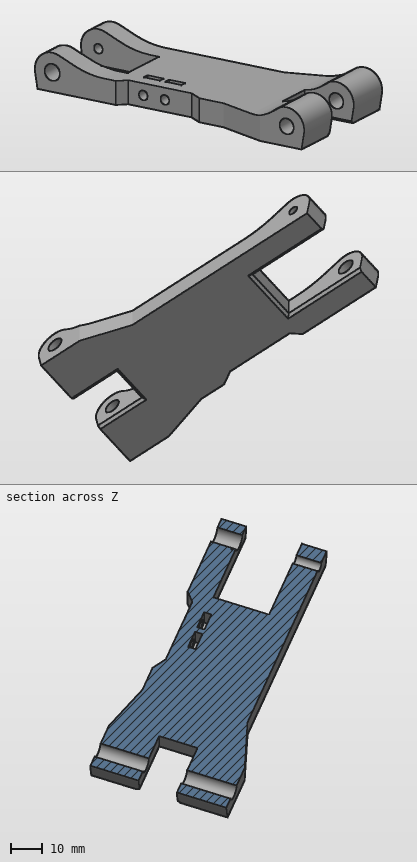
import cadquery as cq
import math


length = 103.0
wide_width = 45.6
wide_rear_y = 23.0
narrow_width = 35.3
plate_height = 8.0
knuckle_height = 13.0

knuckle_radius = knuckle_height / 2
base_inset = 1.0
narrow_slope_angle = 22.0
narrow_blend_radius = 29.0
wide_blend_radius = 15.0

taper_start_x = 70.0
taper_end_x = 86.7
relief_depth = 2.7
relief_start_x = 30.0
relief_floor_start_x = 33.0
relief_floor_end_x = 56.5
relief_end_x = 61.0

narrow_slot_length = 29.0
narrow_slot_width = 18.5
wide_slot_length = 18.2
wide_slot_width = 12.7
slot_chamfer = 1.0

narrow_pin_diameter = 3.2
narrow_pin_head_diameter = 5.6
wide_pin_diameter = 5.2
wide_pin_z = 6.7

screw_diameter = 3.2
screw_positions_x = (38.5, 46.5)
nut_slot_length = 6.0
nut_slot_width = 2.3
nut_slot_center_y = -8.8

narrow_knuckle_x = knuckle_radius
wide_knuckle_x = length - knuckle_radius
front_y = -narrow_width / 2
wide_front_y = wide_rear_y - wide_width
relief_y = front_y + relief_depth
screw_z = plate_height / 2


def point_on_circle(center_x, center_z, radius, angle):
    """Point at an angle (radians) measured from +X towards +Z."""
    return (center_x + radius * math.cos(angle), center_z + radius * math.sin(angle))


def side_body():
    """Side profile with a round knuckle at each end, extruded across the full width."""
    lean = 2 * math.atan2(knuckle_radius, knuckle_radius - base_inset)
    end_tangent = lean - math.pi / 2
    narrow_end = point_on_circle(narrow_knuckle_x, knuckle_radius, knuckle_radius, math.pi + end_tangent)
    wide_end = point_on_circle(wide_knuckle_x, knuckle_radius, knuckle_radius, -end_tangent)
    narrow_outer = (0, knuckle_radius)
    wide_outer = (length, knuckle_radius)

    slope = math.radians(narrow_slope_angle)
    ramp_start = point_on_circle(narrow_knuckle_x, knuckle_radius, knuckle_radius, math.pi / 2 - slope)
    ramp_foot_x = ramp_start[0] + (ramp_start[1] - plate_height) / math.tan(slope)
    narrow_blend_x = ramp_foot_x + narrow_blend_radius * math.tan(slope / 2)
    narrow_blend_z = plate_height + narrow_blend_radius
    ramp_end = point_on_circle(
        narrow_blend_x, narrow_blend_z, narrow_blend_radius, -math.pi / 2 - slope
    )
    narrow_blend_mid = point_on_circle(
        narrow_blend_x, narrow_blend_z, narrow_blend_radius, -math.pi / 2 - slope / 2
    )

    wide_blend_z = plate_height + wide_blend_radius
    center_rise = wide_blend_z - knuckle_radius
    center_run = math.sqrt((wide_blend_radius + knuckle_radius) ** 2 - center_rise**2)
    wide_blend_x = wide_knuckle_x - center_run
    wide_angle = -math.atan2(center_rise, center_run)
    wide_blend_end = point_on_circle(wide_blend_x, wide_blend_z, wide_blend_radius, wide_angle)
    wide_blend_mid = point_on_circle(
        wide_blend_x, wide_blend_z, wide_blend_radius, (wide_angle - math.pi / 2) / 2
    )
    wide_top = (wide_knuckle_x, knuckle_height)

    return (
        cq.Workplane("XZ", origin=(0, wide_rear_y, 0))
        .moveTo(base_inset, 0)
        .lineTo(*narrow_end)
        .threePointArc(narrow_outer, ramp_start)
        .lineTo(*ramp_end)
        .threePointArc(narrow_blend_mid, (narrow_blend_x, plate_height))
        .lineTo(wide_blend_x, plate_height)
        .threePointArc(wide_blend_mid, wide_blend_end)
        .threePointArc(wide_top, wide_outer)
        .threePointArc(
            point_on_circle(wide_knuckle_x, knuckle_radius, knuckle_radius, -end_tangent / 2), wide_end
        )
        .lineTo(length - base_inset, 0)
        .close()
        .extrude(wide_width)
    )


def plan_body():
    """Outline seen along Z, with the taper to the wide fork and the relief in the front edge."""
    outline = [
        (0, front_y),
        (relief_start_x, front_y),
        (relief_floor_start_x, relief_y),
        (relief_floor_end_x, relief_y),
        (relief_end_x, front_y),
        (taper_start_x, front_y),
        (taper_end_x, wide_front_y),
        (length, wide_front_y),
        (length, wide_rear_y),
        (taper_end_x, wide_rear_y),
        (taper_start_x, narrow_width / 2),
        (0, narrow_width / 2),
    ]
    return cq.Workplane("XY").polyline(outline).close().extrude(knuckle_height)


def fork_slot(end_x, slot_length, slot_width):
    """Slot centred on the arm's end at end_x, so half of it cuts in, with chamfered bottom edges."""
    slot = (
        cq.Workplane("XY")
        .rect(2 * slot_length, slot_width)
        .extrude(knuckle_height)
    )
    flare = (
        cq.Workplane("XY")
        .rect(2 * (slot_length + slot_chamfer), slot_width + 2 * slot_chamfer)
        .extrude(slot_chamfer, taper=45)
    )
    return slot.union(flare).translate((end_x, 0, 0))


def hole_along_y(x, z, diameter, start_y, end_y):
    """Cylinder along +Y from start_y to end_y."""
    return cq.Workplane(
        cq.Solid.makeCylinder(
            diameter / 2, end_y - start_y, cq.Vector(x, start_y, z), cq.Vector(0, 1, 0)
        )
    )


def cut_pin_holes(body):
    """Pin holes through both forks; the front narrow arm has the larger bore."""
    body = body.cut(
        hole_along_y(wide_knuckle_x, wide_pin_z, wide_pin_diameter, wide_front_y, wide_rear_y)
    )
    body = body.cut(
        hole_along_y(narrow_knuckle_x, knuckle_radius, narrow_pin_diameter, 0, narrow_width / 2)
    )
    return body.cut(
        hole_along_y(narrow_knuckle_x, knuckle_radius, narrow_pin_head_diameter, front_y, 0)
    )


def cut_captive_nuts(body):
    """Screw holes from the front edge, each ending in a nut slot open at the top."""
    slot_floor_z = screw_z - nut_slot_length / 2
    slot_back_y = nut_slot_center_y + nut_slot_width / 2
    for x in screw_positions_x:
        nut_slot = (
            cq.Workplane("XY")
            .box(
                nut_slot_length,
                nut_slot_width,
                plate_height - slot_floor_z,
                centered=(True, True, False),
            )
            .translate((x, nut_slot_center_y, slot_floor_z))
        )
        screw_hole = hole_along_y(x, screw_z, screw_diameter, relief_y, slot_back_y)
        body = body.cut(nut_slot).cut(screw_hole)
    return body


arm = side_body().intersect(plan_body())
arm = arm.cut(fork_slot(0, narrow_slot_length, narrow_slot_width))
arm = arm.cut(fork_slot(length, wide_slot_length, wide_slot_width))
arm = cut_pin_holes(arm)
result = cut_captive_nuts(arm)